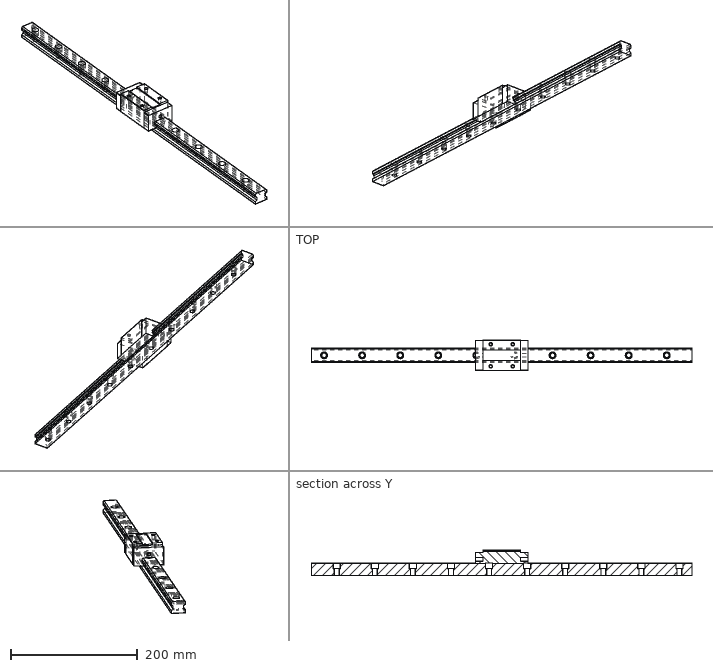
import cadquery as cq


RAIL_LENGTH = 600.0
RAIL_WIDTH = 23.0
RAIL_HEIGHT = 20.0
WAIST_WIDTH = 17.0
WAIST_TOP = 11.5
BASE_SIDE_HEIGHT = 4.5
BASE_SLOPE_HEIGHT = 2.5
WAIST_BOTTOM = BASE_SIDE_HEIGHT + BASE_SLOPE_HEIGHT
HEAD_SLOPE_WIDTH = 1.0
HEAD_SLOPE_HEIGHT = 2.1
HEAD_BOTTOM = WAIST_TOP + HEAD_SLOPE_HEIGHT
HEAD_CHAMFER_WIDTH = 2.0
HEAD_CHAMFER_HEIGHT = 2.1

RAIL_HOLE_COUNT = 10
RAIL_HOLE_PITCH = 60.0
RAIL_HOLE_END_DISTANCE = RAIL_HOLE_PITCH / 3
RAIL_HOLE_DIAMETER = 7.0
COUNTERBORE_DIAMETER = 11.0
COUNTERBORE_DEPTH = 9.0

CARRIAGE_LENGTH = 83.0
CARRIAGE_TOP = 40.0
CARRIAGE_BOTTOM = WAIST_BOTTOM
BLOCK_LENGTH = 59.5
BLOCK_WIDTH = 48.0
BLOCK_TOP_CHAMFER = 0.5
CHANNEL_WIDTH = 16.0
CHANNEL_DEPTH = 2.0
END_CAP_LENGTH = (CARRIAGE_LENGTH - BLOCK_LENGTH) / 2
END_CAP_WIDTH = 47.5
END_CAP_TOP = 36.5
END_CAP_CHAMFER = 0.5

MOUNT_HOLE_SPACING = 35.0
MOUNT_HOLE_DIAMETER = 5.5
MOUNT_HOLE_DEPTH = 8.0
MOUNT_HOLE_CHAMFER = 0.5
DRILL_TIP_HEIGHT = 1.0
GREASE_HOLE_DIAMETER = 5.5
GREASE_HOLE_ABOVE_RAIL = 5.7


def rail_prism(length):
    """Rail section extruded along X, centred on X = 0, with its base at Z = 0."""
    half_width = RAIL_WIDTH / 2
    half_waist = WAIST_WIDTH / 2
    right_side = [
        (half_width, 0),
        (half_width, BASE_SIDE_HEIGHT),
        (half_waist, WAIST_BOTTOM),
        (half_waist, WAIST_TOP),
        (half_waist + HEAD_SLOPE_WIDTH, HEAD_BOTTOM),
        (half_width, HEAD_BOTTOM),
        (half_width, RAIL_HEIGHT - HEAD_CHAMFER_HEIGHT),
        (half_width - HEAD_CHAMFER_WIDTH, RAIL_HEIGHT),
    ]
    left_side = [(-y, z) for y, z in reversed(right_side)]
    return cq.Workplane("YZ").polyline(right_side + left_side).close().extrude(length / 2, both=True)


def make_rail():
    """Rail with a row of counterbored through holes."""
    first_hole_x = RAIL_HOLE_END_DISTANCE - RAIL_LENGTH / 2
    hole_points = [(first_hole_x + i * RAIL_HOLE_PITCH, 0) for i in range(RAIL_HOLE_COUNT)]
    return (
        rail_prism(RAIL_LENGTH)
        .faces(">Z")
        .workplane(origin=(0, 0, RAIL_HEIGHT))
        .pushPoints(hole_points)
        .cboreHole(RAIL_HOLE_DIAMETER, COUNTERBORE_DIAMETER, COUNTERBORE_DEPTH)
    )


def carriage_box(length, width, top, chamfer):
    """Box standing on the carriage underside, with its long top edges chamfered."""
    box = cq.Workplane("XY", origin=(0, 0, CARRIAGE_BOTTOM)).box(
        length, width, top - CARRIAGE_BOTTOM, centered=(True, True, False)
    )
    return box.faces(">Z").edges("|X").chamfer(chamfer)


def mount_hole(location):
    """Drilled blind hole with a chamfered mouth and a conical bottom, going down from the location."""
    mouth_radius = MOUNT_HOLE_DIAMETER / 2
    bore_radius = mouth_radius - MOUNT_HOLE_CHAMFER
    profile = [
        (0, 0),
        (mouth_radius, 0),
        (bore_radius, -MOUNT_HOLE_CHAMFER),
        (bore_radius, -MOUNT_HOLE_DEPTH),
        (0, -MOUNT_HOLE_DEPTH - DRILL_TIP_HEIGHT),
    ]
    hole = cq.Workplane("XZ").polyline(profile).close().revolve(360, (0, 0), (0, 1))
    return hole.val().moved(location)


def make_block():
    """Central block with a shallow channel along its top and four mounting holes."""
    channel = cq.Workplane("XY", origin=(0, 0, CARRIAGE_TOP)).box(
        BLOCK_LENGTH, CHANNEL_WIDTH, 2 * CHANNEL_DEPTH
    )
    mount_holes = (
        cq.Workplane("XY", origin=(0, 0, CARRIAGE_TOP))
        .rect(MOUNT_HOLE_SPACING, MOUNT_HOLE_SPACING, forConstruction=True)
        .vertices()
        .eachpoint(mount_hole)
    )
    block = carriage_box(BLOCK_LENGTH, BLOCK_WIDTH, CARRIAGE_TOP, BLOCK_TOP_CHAMFER)
    return block.cut(channel).cut(mount_holes)


def make_end_cap(side):
    """End cap on the +X (side = 1) or -X (side = -1) end, with a grease hole through it."""
    centre_x = side * (BLOCK_LENGTH + END_CAP_LENGTH) / 2
    cap = carriage_box(END_CAP_LENGTH, END_CAP_WIDTH, END_CAP_TOP, END_CAP_CHAMFER)
    grease_hole = (
        cq.Workplane("YZ", origin=(0, 0, RAIL_HEIGHT + GREASE_HOLE_ABOVE_RAIL))
        .circle(GREASE_HOLE_DIAMETER / 2)
        .extrude(END_CAP_LENGTH / 2, both=True)
    )
    return cap.cut(grease_hole).translate((centre_x, 0, 0))


def make_carriage():
    """Block and end caps as one solid, with a bore that fits the rail section."""
    body = make_block()
    for side in (-1, 1):
        body = body.union(make_end_cap(side))
    return body.cut(rail_prism(CARRIAGE_LENGTH))


rail = make_rail()
carriage = make_carriage()

result = cq.Compound.makeCompound([*rail.vals(), *carriage.vals()])